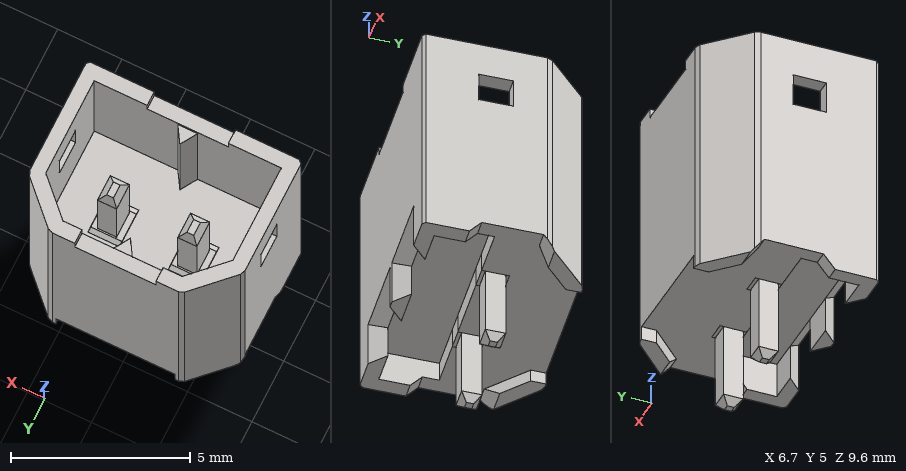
import cadquery as cq


width = 6.7
height = 7.5
front_y = -2.6
back_y = 2.4
side_wall = 0.44
end_wall = 0.45
outer_slope = 1.3
inner_slope = 1.06
edge_chamfer = 0.1
floor_top = 3.28
floor_bottom = 0.43

rim_notch_width = 2.52
rim_notch_depth = 0.3
rib_width = 0.61
rib_depth = 0.5
rib_top = 7.1
window_size = 1.0
window_bottom = 5.31
window_back_y = 0.02

side_notch_width = 2.5
side_notch_top_width = 1.79
port_width = 1.4
port_height = 1.1

pin_pitch = 2.5
pin_width = 0.6
blade_depth = 0.81
pin_top = 5.89
tail_length = 2.1
tip_inset = 0.19
tip_height = 0.2
tail_tip_height = 0.22

collar_width = 0.98
collar_depth = 1.21
collar_top_depth = 0.9
collar_height = 0.06

half_width = width / 2
inner_half_width = half_width - side_wall
inner_front_y = front_y + end_wall
inner_back_y = back_y - end_wall
back_opening_width = 2 * (inner_half_width - inner_slope)
shell_mid_y = (front_y + back_y) / 2
pin_xs = (-pin_pitch / 2, pin_pitch / 2)


def box(size_x, y_min, y_max, z_min, z_max, x=0.0):
    """Box centred on x between the given Y and Z limits."""
    block = cq.Workplane("XY").box(size_x, y_max - y_min, z_max - z_min, centered=(True, False, False))
    return block.translate((x, y_min, z_min))


def sloped_prism(half_x, y_front, y_back, slope, z_min, z_max):
    """Upright prism whose two back corners are cut at 45 degrees."""
    outline = [
        (-half_x, y_front),
        (half_x, y_front),
        (half_x, y_back - slope),
        (half_x - slope, y_back),
        (-half_x + slope, y_back),
        (-half_x, y_back - slope),
    ]
    return cq.Workplane("XY", origin=(0, 0, z_min)).polyline(outline).close().extrude(z_max - z_min)


def make_shell():
    shell = sloped_prism(half_width, front_y, back_y, outer_slope, 0, height)
    shell = shell.edges("|Z").chamfer(edge_chamfer)
    cavity = sloped_prism(inner_half_width, inner_front_y, inner_back_y, inner_slope, floor_top, height)
    return shell.cut(cavity)


def make_rib(wall_y, inward):
    """Triangular rib on the wall at wall_y; inward is the Y direction into the cavity."""
    outline = [(-rib_width / 2, wall_y), (rib_width / 2, wall_y), (0, wall_y + inward * rib_depth)]
    return cq.Workplane("XY", origin=(0, 0, floor_top)).polyline(outline).close().extrude(rib_top - floor_top)


def make_collar(x):
    """Block around a pin whose front and back faces slope up from the cavity floor."""
    profile = [
        (-collar_depth / 2, floor_top),
        (collar_depth / 2, floor_top),
        (collar_top_depth / 2, floor_top + collar_height),
        (-collar_top_depth / 2, floor_top + collar_height),
    ]
    return cq.Workplane("YZ", origin=(x, 0, 0)).polyline(profile).close().extrude(collar_width / 2, both=True)


def make_side_notch():
    """Trapezoidal notch through the bottom of both side walls."""
    profile = [
        (-side_notch_width / 2, 0),
        (side_notch_width / 2, 0),
        (side_notch_top_width / 2, floor_bottom),
        (-side_notch_top_width / 2, floor_bottom),
    ]
    return cq.Workplane("YZ").polyline(profile).close().extrude(width, both=True)


def make_port(x):
    """Opening that tapers inward at 45 degrees through the front wall."""
    outer_width = port_width + 2 * end_wall
    outer_height = port_height + end_wall
    return (
        cq.Workplane("XZ", origin=(x, front_y, 0))
        .center(0, outer_height / 2)
        .rect(outer_width, outer_height)
        .workplane(offset=-end_wall)
        .center(0, (port_height - outer_height) / 2)
        .rect(port_width, port_height)
        .loft(ruled=True)
    )


def make_pin(x):
    """Pin with a deep blade above the housing underside, a square tail below and tapered tips."""
    blade = box(pin_width, -blade_depth / 2, blade_depth / 2, floor_bottom, pin_top, x)
    blade = blade.faces(">Z").chamfer(tip_height, tip_inset)
    tail = box(pin_width, -pin_width / 2, pin_width / 2, -tail_length, floor_bottom, x)
    tail = tail.faces("<Z").chamfer(tail_tip_height, tip_inset)
    return blade.union(tail)


def make_housing(pins):
    housing = make_shell()
    housing = housing.union(make_rib(inner_front_y, 1)).union(make_rib(inner_back_y, -1))

    housing = housing.cut(box(rim_notch_width, front_y, back_y, height - rim_notch_depth, height))

    window_top = window_bottom + window_size
    windows = box(width, window_back_y - window_size, window_back_y, window_bottom, window_top)
    housing = housing.cut(windows)

    hollow = sloped_prism(inner_half_width, inner_front_y, inner_back_y, inner_slope, 0, floor_bottom)
    front_hollow = box(2 * inner_half_width, inner_front_y, -blade_depth / 2, 0, port_height)
    back_opening = box(back_opening_width, shell_mid_y, back_y, 0, floor_bottom)
    housing = housing.cut(hollow).cut(front_hollow).cut(back_opening).cut(make_side_notch())

    for x in pin_xs:
        housing = housing.union(make_collar(x)).cut(make_port(x))
    for pin in pins:
        housing = housing.cut(pin)
    return housing


pins = [make_pin(x) for x in pin_xs]
housing = make_housing(pins)

result = cq.Compound.makeCompound([housing.val(), *[pin.val() for pin in pins]])